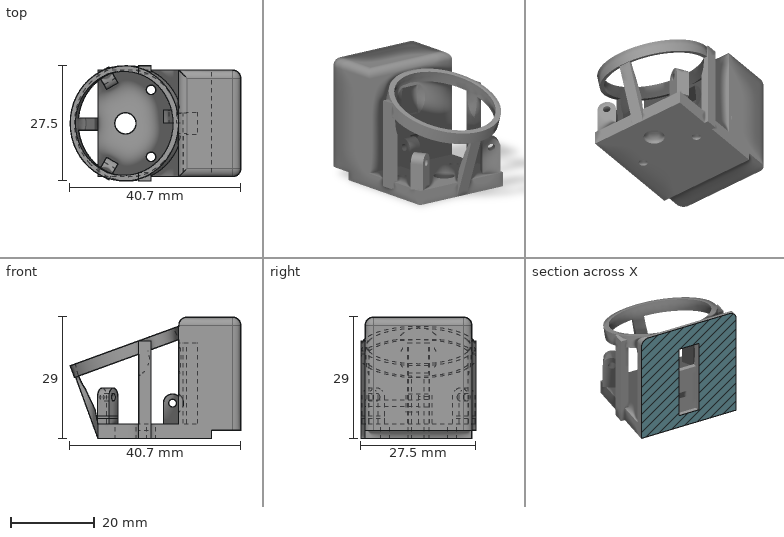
import cadquery as cq
import math

BASE_LEFT = 6.65
BASE_RIGHT = 33.75
BASE_WIDTH = 25.45
BASE_TOP = 3.5
WALL_X = 25.9
HOUSING_RIGHT = 40.7
HOUSING_BOTTOM = 2.0
HOUSING_TOP = 29.0
HOUSING_FILLET = 2.0

CENTER_HOLE_X = 13.2
CENTER_HOLE_DIAMETER = 5.0
SCREW_HOLE_X = 19.3
SCREW_HOLE_Y = 8.0
SCREW_HOLE_DIAMETER = 2.2

WALL_THICKNESS = 1.0
WINDOW_WIDTH = 4.75
WINDOW_BOTTOM = 15.68
WINDOW_TOP = 22.8
CAVITY_WIDTH = 4.9
CAVITY_STEP_X = 27.77
CAVITY_REAR_WIDTH = 5.2
CAVITY_BACK_X = 30.35
CAVITY_FRONT_X = WALL_X + WALL_THICKNESS

RING_TILT = 20.0
RING_OUTER_DIAMETER = 27.5
RING_OUTER_RADIUS = RING_OUTER_DIAMETER / 2
RING_HEIGHT = 3.0
RING_LOW_EDGE_Z = 17.4
BALL_RADIUS = 12.75
SIN_TILT = math.sin(math.radians(RING_TILT))
COS_TILT = math.cos(math.radians(RING_TILT))
RING_TOP_X = RING_OUTER_RADIUS * COS_TILT
RING_TOP_Z = RING_LOW_EDGE_Z + RING_OUTER_RADIUS * SIN_TILT
BALL_X = RING_TOP_X + RING_HEIGHT * SIN_TILT
BALL_Z = RING_TOP_Z - RING_HEIGHT * COS_TILT

POST_LEFT = 16.33
POST_LENGTH = 2.97
POST_DEPTH = 2.0
POST_TOP = 23.35
STRUT_WIDTH = 2.97
STRUT_CENTER_Y = -0.15
STRUT_KNEE_X = 6.0
STRUT_KNEE_Z = 6.92
STRUT_INNER_ANGLE = 25.4
STRUT_OVERLAP = 0.4

LUG_RADIUS = 2.2
LUG_HOLE_DIAMETER = 1.8
LUG_THICKNESS = 3.15
REAR_LUG_SIDE_OFFSET = 0.05
LUG_HOLE_X = 24.45
REAR_LUG_HOLE_Z = 8.45
FRONT_LUG_HOLE_Z = 9.9
FRONT_LUG_SIDE_OFFSET = 0.15
FRONT_LUG_OUTWARD_SHIFT = 0.2
FRONT_LUG_TURN = 120.0
SPACER_BOTTOM = 4.75
SPACER_TOP = 5.45
CLEARANCE_RADIUS = 2.6
CLEARANCE_WIDTH = 3.0


def box(x_min, x_max, y_min, y_max, z_min, z_max):
    """Axis-aligned block between two opposite corners."""
    size = (x_max - x_min, y_max - y_min, z_max - z_min)
    return cq.Workplane("XY").box(*size, centered=False).translate((x_min, y_min, z_min))


def centered_box(x_min, x_max, width, z_min, z_max):
    """Block that is symmetric about the plane y = 0."""
    return box(x_min, x_max, -width / 2, width / 2, z_min, z_max)


def y_cylinder(x, z, radius, y_min, y_max):
    """Cylinder along Y between two Y positions."""
    cylinder = cq.Workplane("XZ", origin=(x, y_min, z)).circle(radius)
    return cylinder.extrude(-(y_max - y_min))


def make_ball():
    """Sphere centered on the underside of the ring; it hollows the ring and all that reaches inside."""
    return cq.Workplane("XY").sphere(BALL_RADIUS).translate((BALL_X, 0, BALL_Z))


def make_housing_block():
    block = centered_box(WALL_X, HOUSING_RIGHT, BASE_WIDTH, HOUSING_BOTTOM, HOUSING_TOP)
    return block.edges(">Z or (|Z and >X)").fillet(HOUSING_FILLET)


def make_base_plate():
    plate = centered_box(BASE_LEFT, BASE_RIGHT, BASE_WIDTH, 0, BASE_TOP)
    center_hole = cq.Workplane("XY").center(CENTER_HOLE_X, 0).circle(CENTER_HOLE_DIAMETER / 2)
    plate = plate.cut(center_hole.extrude(BASE_TOP))
    screw_places = [(SCREW_HOLE_X, -SCREW_HOLE_Y), (SCREW_HOLE_X, SCREW_HOLE_Y)]
    screw_holes = cq.Workplane("XY").pushPoints(screw_places).circle(SCREW_HOLE_DIAMETER / 2)
    return plate.cut(screw_holes.extrude(BASE_TOP))


def make_camera_cavity():
    """Window, dished sides of the window, and the stepped cavity behind it."""
    window = centered_box(WALL_X, CAVITY_FRONT_X, WINDOW_WIDTH, WINDOW_BOTTOM, WINDOW_TOP)
    front = centered_box(CAVITY_FRONT_X, CAVITY_STEP_X, CAVITY_WIDTH, BASE_TOP, WINDOW_TOP)
    rear = centered_box(CAVITY_STEP_X, CAVITY_BACK_X, CAVITY_REAR_WIDTH, BASE_TOP, WINDOW_TOP)
    dish_limits = centered_box(WALL_X, CAVITY_FRONT_X, BASE_WIDTH, WINDOW_BOTTOM, WINDOW_TOP)
    dish = dish_limits.intersect(make_ball())
    return window.union(front).union(rear).union(dish)


def make_posts():
    outer_y = RING_OUTER_RADIUS
    inner_y = outer_y - POST_DEPTH
    right = POST_LEFT + POST_LENGTH
    near_post = box(POST_LEFT, right, -outer_y, -inner_y, 0, POST_TOP)
    far_post = box(POST_LEFT, right, inner_y, outer_y, HOUSING_BOTTOM, POST_TOP)
    return near_post.union(far_post)


def make_strut():
    """Slanted strut from the base edge up to the underside of the ring."""
    top_z = RING_LOW_EDGE_Z - RING_HEIGHT * COS_TILT + STRUT_OVERLAP
    outer_top_x = BASE_LEFT - top_z * math.tan(math.radians(RING_TILT))
    rise = top_z - STRUT_KNEE_Z
    inner_top_x = STRUT_KNEE_X - rise * math.tan(math.radians(STRUT_INNER_ANGLE))
    outline = [
        (BASE_LEFT, 0),
        (outer_top_x, top_z),
        (inner_top_x, top_z),
        (STRUT_KNEE_X, STRUT_KNEE_Z),
        (BASE_LEFT, BASE_TOP),
    ]
    start_y = STRUT_CENTER_Y + STRUT_WIDTH / 2
    return cq.Workplane("XZ", origin=(0, start_y, 0)).polyline(outline).close().extrude(STRUT_WIDTH)


def make_ring_frame():
    ring_top = cq.Plane(
        origin=(RING_TOP_X, 0, RING_TOP_Z), xDir=(0, 1, 0), normal=(SIN_TILT, 0, -COS_TILT)
    )
    ring = cq.Workplane(ring_top).circle(RING_OUTER_RADIUS).extrude(RING_HEIGHT)
    return ring.union(make_posts()).union(make_strut()).cut(make_ball())


def make_lug(hole_z, side, offset):
    """Round-topped lug standing on the base plate; side is the sign of its Y position."""
    y_ends = sorted([side * offset, side * (offset + LUG_THICKNESS)])
    left = LUG_HOLE_X - LUG_RADIUS
    right = LUG_HOLE_X + LUG_RADIUS
    lug = box(left, right, *y_ends, BASE_TOP, hole_z)
    lug = lug.union(y_cylinder(LUG_HOLE_X, hole_z, LUG_RADIUS, *y_ends))
    return lug.cut(y_cylinder(LUG_HOLE_X, hole_z, LUG_HOLE_DIAMETER / 2, *y_ends))


def make_front_lug(side):
    """Tall lug turned about the center hole; side is +1 at +Y and -1 at -Y."""
    axis_start = (CENTER_HOLE_X, 0, 0)
    axis_end = (CENTER_HOLE_X, 0, 1)
    lug = make_lug(FRONT_LUG_HOLE_Z, -side, FRONT_LUG_SIDE_OFFSET)
    lug = lug.translate((FRONT_LUG_OUTWARD_SHIFT, 0, 0))
    return lug.rotate(axis_start, axis_end, side * FRONT_LUG_TURN)


def layer(solid, z_min, z_max):
    """Part of a solid between two heights."""
    return solid.intersect(box(0, HOUSING_RIGHT, -BASE_WIDTH, BASE_WIDTH, z_min, z_max))


def make_hinge_clearance():
    """Round relief in the housing wall beside the rear lug, with a thin slit out to the -Y side."""
    y_max = REAR_LUG_SIDE_OFFSET
    y_min = y_max - CLEARANCE_WIDTH
    relief = y_cylinder(LUG_HOLE_X, REAR_LUG_HOLE_Z, CLEARANCE_RADIUS, y_min, y_max)
    half_width = BASE_WIDTH / 2
    slit = y_cylinder(LUG_HOLE_X, REAR_LUG_HOLE_Z, CLEARANCE_RADIUS, -half_width, y_min)
    beyond_wall = centered_box(CAVITY_FRONT_X, CAVITY_BACK_X, BASE_WIDTH, 0, HOUSING_TOP)
    return relief.union(slit.intersect(beyond_wall))


def make_housing():
    """Base plate, camera housing, ring frame, rear lug and the two front lug feet."""
    body = make_housing_block().union(make_base_plate())
    body = body.union(make_ring_frame())
    body = body.cut(make_camera_cavity()).cut(make_hinge_clearance())
    body = body.union(make_lug(REAR_LUG_HOLE_Z, 1, REAR_LUG_SIDE_OFFSET))
    for side in (-1, 1):
        body = body.union(layer(make_front_lug(side), BASE_TOP, SPACER_BOTTOM))
    return body


housing = make_housing()
spacers = []
lug_heads = []
for side in (-1, 1):
    front_lug = make_front_lug(side)
    spacers.append(layer(front_lug, SPACER_BOTTOM, SPACER_TOP).val())
    lug_heads.append(layer(front_lug, SPACER_TOP, HOUSING_TOP).val())

result = cq.Compound.makeCompound([housing.val(), *spacers, *lug_heads])